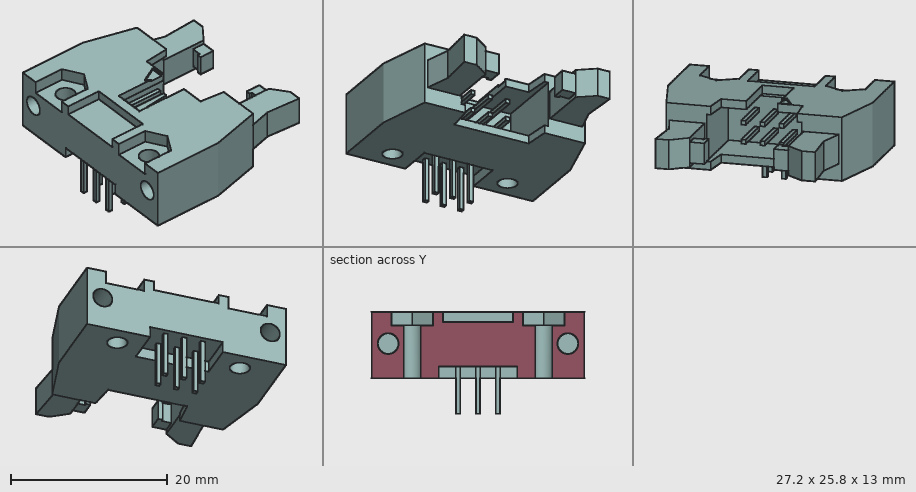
import cadquery as cq


BODY_WIDTH = 27.2
BODY_LENGTH = 17.27
BODY_HEIGHT = 8.5
TOTAL_LENGTH = 25.75
TOTAL_HEIGHT = 13.0
STRAIGHT_SIDE_LENGTH = 9.93
PRONG_OUTER_X = 11.67
PRONG_INNER_X = 5.77
NOTCH_FLOOR_HALF_WIDTH = 5.4
NOTCH_FLOOR_Y = 13.74

CAVITY_WALL = 1.12
CAVITY_HALF_WIDTH = 6.3
CAVITY_BACK_Y = 7.35
KEY_SLOT_WIDTH = 4.15
KEY_SLOT_BACK_Y = 6.4

ARM_HEIGHT = 3.92
ARM_BOTTOM_Z = 2.25
ARM_INNER_X = 6.55
ARM_ROOT_X = 11.25
ARM_WAIST_X = 10.28
ARM_WAIST_Y = 20.78
ARM_TIP_OUTER_X = 10.6
ARM_TIP_INNER_X = 8.8
HOOK_INSET_Z = 0.57
HOOK_TIP_X = 4.62
HOOK_FRONT_Y = 24.07
HOOK_BACK_Y = 22.3
HOOK_LIP_WIDTH = 0.63
HOOK_LIP_LENGTH = 0.33

PIN_SIZE = 0.57
PIN_PITCH = 2.53
PIN_COLUMNS = 3
PIN_TIP_Y = 13.45
TAIL_FIRST_Y = 1.03
TAIL_RECESS_WIDTH = 9.95
TAIL_RECESS_LENGTH = 5.03
TAIL_RECESS_DEPTH = 1.5

HOLE_DIAMETER = 2.6
MOUNT_HOLE_X = 8.38
MOUNT_HOLE_Y = 2.8
NUT_POCKET_WIDTH = 5.25
NUT_POCKET_DEPTH = 1.7
NUT_SHOULDER_Y = 4.32
NUT_APEX_Y = 5.85
REAR_HOLE_X = 11.45
REAR_HOLE_Z = 4.43
REAR_HOLE_DEPTH = 4.08
LABEL_POCKET_WIDTH = 8.87
LABEL_POCKET_LENGTH = 5.03
LABEL_POCKET_DEPTH = 1.28

MARK_X = -2.5
MARK_WIDTH = 2.67
MARK_BASE_Y = PIN_TIP_Y
MARK_APEX_Y = 11.0
MARK_DEPTH = 0.25

PIN_OFFSETS = [(i - (PIN_COLUMNS - 1) / 2) * PIN_PITCH for i in range(PIN_COLUMNS)]
ARM_MIDDLE_Z = ARM_BOTTOM_Z + ARM_HEIGHT / 2


def block(x_range, y_range, z_range):
    """Box given by its limits along each axis."""
    sizes = [high - low for low, high in (x_range, y_range, z_range)]
    corner = (x_range[0], y_range[0], z_range[0])
    return cq.Workplane("XY").box(*sizes, centered=False).translate(corner)


def prism(points, bottom, top):
    """Upright prism over a closed XY outline."""
    return cq.Workplane("XY").workplane(offset=bottom).polyline(points).close().extrude(top - bottom)


def mirrored_pair(shape):
    return shape.union(shape.mirror("YZ"))


def centred(width):
    return (-width / 2, width / 2)


def make_body():
    right_side = [
        (BODY_WIDTH / 2, 0),
        (BODY_WIDTH / 2, STRAIGHT_SIDE_LENGTH),
        (PRONG_OUTER_X, BODY_LENGTH),
        (PRONG_INNER_X, BODY_LENGTH),
        (NOTCH_FLOOR_HALF_WIDTH, NOTCH_FLOOR_Y),
    ]
    left_side = [(-x, y) for x, y in reversed(right_side)]
    return prism(right_side + left_side, 0, BODY_HEIGHT)


def make_cavity():
    """Pin cavity reaching into both prongs, plus the keying slot in its roof."""
    cavity = block(
        (-CAVITY_HALF_WIDTH, CAVITY_HALF_WIDTH),
        (CAVITY_BACK_Y, BODY_LENGTH),
        (CAVITY_WALL, BODY_HEIGHT - CAVITY_WALL),
    )
    key_slot = block(
        centred(KEY_SLOT_WIDTH),
        (KEY_SLOT_BACK_Y, BODY_LENGTH),
        (BODY_HEIGHT - CAVITY_WALL, BODY_HEIGHT),
    )
    return cavity.union(key_slot)


def make_arm():
    """Right-hand latch arm with its inward hook."""
    arm_outline = [
        (ARM_INNER_X, BODY_LENGTH),
        (ARM_ROOT_X, BODY_LENGTH),
        (ARM_WAIST_X, ARM_WAIST_Y),
        (ARM_TIP_OUTER_X, TOTAL_LENGTH),
        (ARM_TIP_INNER_X, TOTAL_LENGTH),
        (ARM_INNER_X, HOOK_FRONT_Y),
    ]
    lip_x = HOOK_TIP_X + HOOK_LIP_WIDTH
    lip_y = HOOK_BACK_Y - HOOK_LIP_LENGTH
    hook_outline = [
        (ARM_INNER_X, HOOK_FRONT_Y),
        (HOOK_TIP_X, HOOK_FRONT_Y),
        (HOOK_TIP_X, lip_y),
        (lip_x, lip_y),
        (lip_x, HOOK_BACK_Y),
        (ARM_INNER_X, HOOK_BACK_Y),
    ]
    arm_top_z = ARM_BOTTOM_Z + ARM_HEIGHT
    arm = prism(arm_outline, ARM_BOTTOM_Z, arm_top_z)
    hook = prism(hook_outline, ARM_BOTTOM_Z + HOOK_INSET_Z, arm_top_z - HOOK_INSET_Z)
    return arm.union(hook)


def make_nut_pocket():
    """Half-hexagon nut pocket open at the rear face, with a through hole."""
    half_width = NUT_POCKET_WIDTH / 2
    outline = [
        (MOUNT_HOLE_X - half_width, 0),
        (MOUNT_HOLE_X + half_width, 0),
        (MOUNT_HOLE_X + half_width, NUT_SHOULDER_Y),
        (MOUNT_HOLE_X, NUT_APEX_Y),
        (MOUNT_HOLE_X - half_width, NUT_SHOULDER_Y),
    ]
    pocket = prism(outline, BODY_HEIGHT - NUT_POCKET_DEPTH, BODY_HEIGHT)
    hole = (
        cq.Workplane("XY")
        .center(MOUNT_HOLE_X, MOUNT_HOLE_Y)
        .circle(HOLE_DIAMETER / 2)
        .extrude(BODY_HEIGHT)
    )
    return pocket.union(hole)


def make_rear_hole():
    """Blind round hole entering the rear face; depth runs toward +Y."""
    return (
        cq.Workplane("XZ")
        .center(REAR_HOLE_X, REAR_HOLE_Z)
        .circle(HOLE_DIAMETER / 2)
        .extrude(-REAR_HOLE_DEPTH)
    )


def make_label_pocket():
    return block(
        centred(LABEL_POCKET_WIDTH),
        (0, LABEL_POCKET_LENGTH),
        (BODY_HEIGHT - LABEL_POCKET_DEPTH, BODY_HEIGHT),
    )


def make_tail_recess():
    return block(centred(TAIL_RECESS_WIDTH), (0, TAIL_RECESS_LENGTH), (0, TAIL_RECESS_DEPTH))


def make_mark():
    outline = [
        (MARK_X - MARK_WIDTH / 2, MARK_BASE_Y),
        (MARK_X + MARK_WIDTH / 2, MARK_BASE_Y),
        (MARK_X, MARK_APEX_Y),
    ]
    return prism(outline, BODY_HEIGHT - MARK_DEPTH, BODY_HEIGHT)


def make_pins():
    """Two rows of contact pins in the cavity and two rows of solder tails below."""
    pins = cq.Workplane("XY")
    tail_bottom_z = BODY_HEIGHT - TOTAL_HEIGHT
    for x in PIN_OFFSETS:
        for row in range(2):
            contact_z = ARM_MIDDLE_Z + (row - 0.5) * PIN_PITCH
            tail_y = TAIL_FIRST_Y + row * PIN_PITCH
            contact = cq.Workplane("XZ", origin=(x, CAVITY_BACK_Y, contact_z))
            tail = cq.Workplane("XY", origin=(x, tail_y, tail_bottom_z))
            pins = pins.union(contact.rect(PIN_SIZE, PIN_SIZE).extrude(CAVITY_BACK_Y - PIN_TIP_Y))
            pins = pins.union(tail.rect(PIN_SIZE, PIN_SIZE).extrude(TAIL_RECESS_DEPTH - tail_bottom_z))
    return pins


result = (
    make_body()
    .cut(make_cavity())
    .cut(mirrored_pair(make_nut_pocket()))
    .cut(mirrored_pair(make_rear_hole()))
    .cut(make_label_pocket())
    .cut(make_tail_recess())
    .cut(make_mark())
    .union(mirrored_pair(make_arm()))
    .union(make_pins())
)